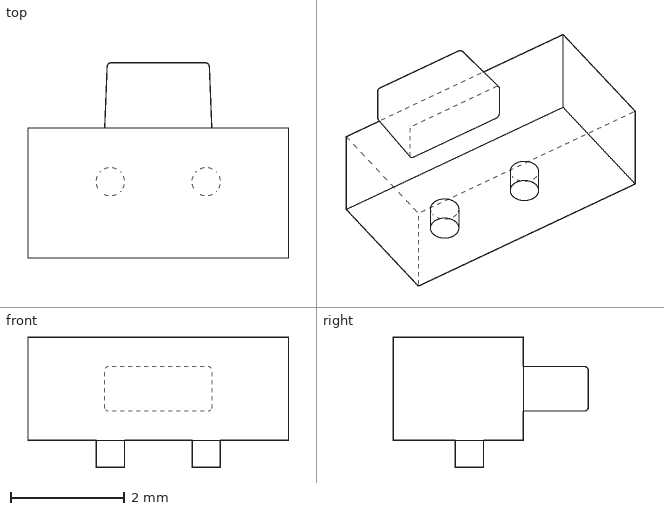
import cadquery as cq

body_length = 4.6
body_depth = 2.3
body_height = 1.82

total_height = 2.3
pin_diameter = 0.5
pin_length = total_height - body_height
pin_spacing = 1.695
pin_y = 0.2

actuator_reach = 1.15
actuator_base_width = 1.895
actuator_tip_width = 1.805
actuator_height = 0.79
actuator_edge_radius = 0.075


def make_body():
    return cq.Workplane("XY").box(body_length, body_depth, body_height, centered=(True, True, False))


def make_pins():
    half_spacing = pin_spacing / 2
    return (
        cq.Workplane("XY")
        .pushPoints([(-half_spacing, pin_y), (half_spacing, pin_y)])
        .circle(pin_diameter / 2)
        .extrude(-pin_length)
    )


def make_actuator():
    base_y = body_depth / 2
    tip_y = base_y + actuator_reach
    bottom_z = (body_height - actuator_height) / 2
    block = (
        cq.Workplane("XY", origin=(0, 0, bottom_z))
        .moveTo(-actuator_base_width / 2, base_y)
        .lineTo(-actuator_tip_width / 2, tip_y)
        .lineTo(actuator_tip_width / 2, tip_y)
        .lineTo(actuator_base_width / 2, base_y)
        .close()
        .extrude(actuator_height)
    )
    return block.edges("not <Y").fillet(actuator_edge_radius)


result = make_body().union(make_pins()).union(make_actuator())